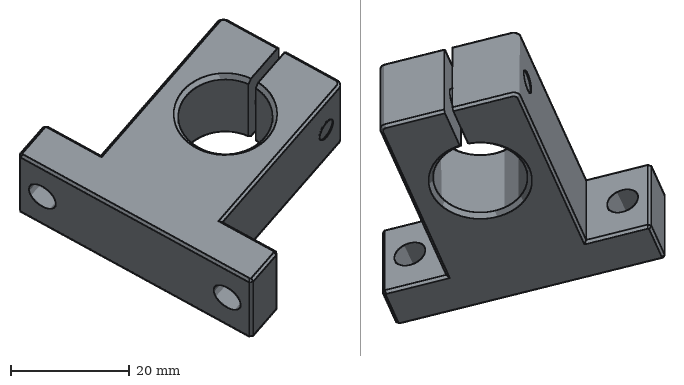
import cadquery as cq

base_length = 48.0
total_depth = 44.0
height = 16.0
base_thickness = 8.0
column_width = 25.0
edge_chamfer = 0.5
column_corner_radius = 1.25

bore_diameter = 16.0
bore_y = 27.0
bore_chamfer = 0.75
slot_width = 1.5

screw_diameter = 4.0
screw_from_end = 5.0
screw_y = total_depth - screw_from_end
screw_recess = 0.2
mount_hole_diameter = 5.5
mount_hole_spacing = 38.0


def make_block():
    """T-shaped block with chamfered base corners, rounded column corners and chamfered rims."""
    base = (
        cq.Workplane("XY")
        .box(base_length, base_thickness, height, centered=(True, False, True))
        .edges("|Z")
        .chamfer(edge_chamfer)
    )
    column = (
        cq.Workplane("XY")
        .box(column_width, total_depth, height, centered=(True, False, True))
        .edges("|Z and >Y")
        .fillet(column_corner_radius)
    )
    block = base.union(column).clean()
    return block.faces("<Z or >Z").edges().chamfer(edge_chamfer)


def cut_bore(block):
    """Cut the shaft bore and countersink it at both ends."""
    bored = block.cut(
        cq.Workplane("XY").center(0, bore_y).circle(bore_diameter / 2).extrude(height, both=True)
    )
    rims = bored.edges(cq.selectors.RadiusNthSelector(-1))
    return rims.chamfer(bore_chamfer)


def cut_slot(block):
    """Open the bore through the far end of the column."""
    slot_length = total_depth - bore_y
    slot = (
        cq.Workplane("XY")
        .box(slot_width, slot_length, height, centered=(True, False, True))
        .translate((0, bore_y, 0))
    )
    return block.cut(slot)


def cross_cylinder(length):
    """Cylinder along X on the clamp screw axis."""
    return (
        cq.Workplane("YZ", origin=(-length / 2, screw_y, 0))
        .circle(screw_diameter / 2)
        .extrude(length)
    )


def cut_mount_holes(block):
    """Drill the two mounting holes through the base along Y."""
    for side in (-1, 1):
        hole = (
            cq.Workplane("XZ")
            .center(side * mount_hole_spacing / 2, 0)
            .circle(mount_hole_diameter / 2)
            .extrude(-base_thickness)
        )
        block = block.cut(hole)
    return block


def make_housing():
    """Block with the bore, slot, mounting holes and screw hole cut."""
    housing = cut_slot(cut_bore(make_block()))
    housing = cut_mount_holes(housing)
    return housing.cut(cross_cylinder(column_width))


def make_clamp_screw():
    """Plain screw body, its ends set just below the column sides."""
    return cross_cylinder(column_width - 2 * screw_recess)


housing = make_housing()
clamp_screw = make_clamp_screw()
result = cq.Compound.makeCompound([housing.solids().val(), clamp_screw.val()])